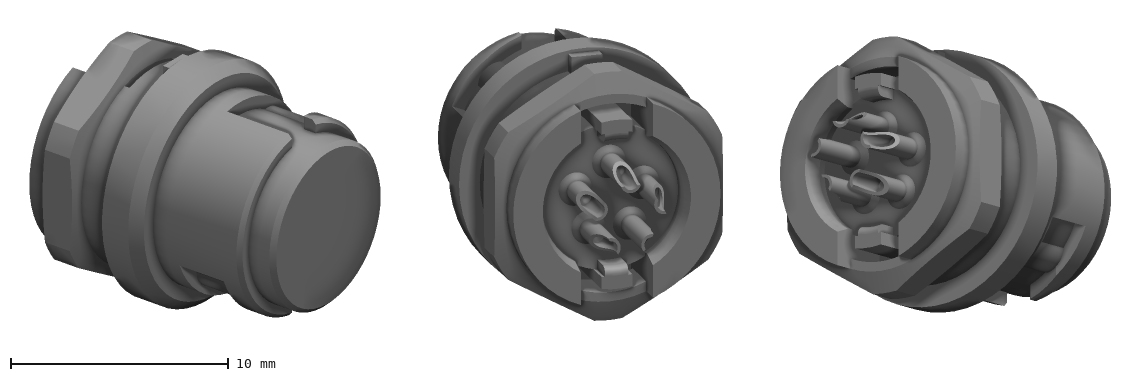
import cadquery as cq
import math


shell_rear_x = 2.1
flange_rear_x = 7.1
flange_front_x = 9.13
barrel_front_x = 14.16
nose_front_x = 15.6
thread_radius = 10.0 / 2
flange_radius = 12.0 / 2
flange_chamfer = 0.51
barrel_radius = 9.6 / 2
barrel_chamfer = 0.2
nose_radius = 8.3 / 2
nose_chamfer = 0.23

bore_mouth_radius = 3.57
bore_radius = 3.34
bore_taper_end_x = 2.92
slot_width = 3.48
slot_front_x = 5.4

insert_radius = 3.51
insert_face_x = 3.3
key_width = 1.48
key_outer_radius = 4.09
tongue_width = 1.12
tongue_inner_radius = 3.04
tongue_round = 0.39

nut_rear_x = 3.12
nut_front_x = 5.12
nut_across_flats = 11.0
hexagon_half_angle = 30
nut_bore_radius = 4.55
nut_chamfer_length = 0.28

lug_rear_x = 6.57
lug_width = 1.48
lug_top_z = 5.79

groove_rear_x = 10.4
groove_front_x = 12.96
entry_half_width = 0.89
ramp_end_y = 2.76
ramp_start_x = 13.45
ramp_round = 0.15
groove_end_angle = 68.0
bump_angle = 39.3
bump_width = 1.55
bump_radius = 1.0

pin_pitch_angle = 72
cup_pitch_angle = 60
pin_steps = (-2, -1, 0, 1, 2)
pin_circle_radius = 1.7
pin_radius = 1.0 / 2
collar_radius = 1.6 / 2
collar_length = 0.23
cup_hole_radius = 0.7 / 2
cup_hole_depth = 2.03
cup_tip_length = 0.2
cup_length = 1.73
cup_wall_offset = 0.15


def x_cylinder(radius, start_x, end_x):
    return cq.Workplane("YZ").workplane(offset=start_x).circle(radius).extrude(end_x - start_x)


def x_revolve(points):
    """Turn an (x, radius) outline about the X axis."""
    return cq.Workplane("XY").polyline(points).close().revolve(360, (0, 0, 0), (1, 0, 0))


def box(start_x, end_x, width, bottom_z, top_z):
    """Block centred on y = 0."""
    return (
        cq.Workplane("XY")
        .box(end_x - start_x, width, top_z - bottom_z, centered=(False, True, False))
        .translate((start_x, 0, bottom_z))
    )


def half_turn(shape):
    return shape.rotate((0, 0, 0), (1, 0, 0), 180)


def make_shell():
    shell = x_revolve([
        (shell_rear_x, 0),
        (shell_rear_x, thread_radius),
        (flange_rear_x, thread_radius),
        (flange_rear_x, flange_radius),
        (flange_front_x - flange_chamfer, flange_radius),
        (flange_front_x, flange_radius - flange_chamfer),
        (flange_front_x, barrel_radius),
        (barrel_front_x - barrel_chamfer, barrel_radius),
        (barrel_front_x, barrel_radius - barrel_chamfer),
        (barrel_front_x, nose_radius),
        (nose_front_x - nose_chamfer, nose_radius),
        (nose_front_x, nose_radius - nose_chamfer),
        (nose_front_x, 0),
    ])
    bore = x_revolve([
        (shell_rear_x, 0),
        (shell_rear_x, bore_mouth_radius),
        (bore_taper_end_x, bore_radius),
        (insert_face_x, bore_radius),
        (insert_face_x, 0),
    ])
    slots = box(shell_rear_x, slot_front_x, slot_width, -flange_radius, flange_radius)
    lug = box(lug_rear_x, flange_rear_x, lug_width, nose_radius, lug_top_z)
    return shell.cut(bore).cut(slots).union(lug)


def make_nut():
    nut_length = nut_front_x - nut_rear_x
    hexagon = (
        cq.Workplane("YZ")
        .workplane(offset=nut_rear_x)
        .polygon(6, nut_across_flats / math.cos(math.radians(hexagon_half_angle)))
        .extrude(nut_length)
        .rotate((0, 0, 0), (1, 0, 0), hexagon_half_angle)
    )
    turned_blank = x_revolve([
        (nut_rear_x, 0),
        (nut_rear_x, thread_radius),
        (nut_rear_x + nut_chamfer_length, flange_radius),
        (nut_front_x - nut_chamfer_length, flange_radius),
        (nut_front_x, thread_radius),
        (nut_front_x, 0),
    ])
    return hexagon.intersect(turned_blank).cut(x_cylinder(nut_bore_radius, nut_rear_x, nut_front_x))


def make_key():
    """Upper insert key: an outer block with a narrower tongue rounded at its rear inner edge."""
    block = box(shell_rear_x, slot_front_x, key_width, 0, flange_radius)
    block = block.intersect(x_cylinder(key_outer_radius, shell_rear_x, slot_front_x))
    block = block.cut(x_cylinder(insert_radius, shell_rear_x, insert_face_x))
    ring = x_cylinder(key_outer_radius, shell_rear_x, slot_front_x)
    ring = ring.cut(x_cylinder(tongue_inner_radius, shell_rear_x, slot_front_x))
    rear_inner_edge = cq.selectors.RadiusNthSelector(0)
    ring = ring.faces("<X").edges(rear_inner_edge).fillet(tongue_round)
    tongue = ring.intersect(box(shell_rear_x, slot_front_x, tongue_width, 0, flange_radius))
    return block.union(tongue)


def make_groove():
    """Upper bayonet groove: straight entry from the front, ramp, then a detent bump."""
    reach = flange_radius
    plan = (
        cq.Workplane("XY")
        .polyline([
            (groove_rear_x, -entry_half_width),
            (barrel_front_x, -entry_half_width),
            (barrel_front_x, entry_half_width),
            (ramp_start_x, entry_half_width),
            (groove_front_x, ramp_end_y),
            (groove_front_x, reach),
            (groove_rear_x, reach),
        ])
        .close()
        .extrude(reach)
    )
    corner = cq.selectors.NearestToPointSelector((ramp_start_x, entry_half_width, reach / 2))
    plan = plan.edges(corner).fillet(ramp_round)

    end_angle = math.radians(groove_end_angle)
    section = (
        cq.Workplane("YZ")
        .workplane(offset=groove_rear_x)
        .polyline([
            (-entry_half_width, 0),
            (0, 0),
            (reach * math.sin(end_angle), reach * math.cos(end_angle)),
            (reach, reach),
            (-entry_half_width, reach),
        ])
        .close()
        .extrude(barrel_front_x - groove_rear_x)
    )
    floor = x_cylinder(nose_radius, groove_rear_x, barrel_front_x)

    floor_chord_distance = math.sqrt(nose_radius**2 - (bump_width / 2) ** 2)
    bump_center_distance = floor_chord_distance - math.sqrt(bump_radius**2 - (bump_width / 2) ** 2)
    bump = (
        x_cylinder(bump_radius, groove_rear_x, barrel_front_x)
        .translate((0, 0, bump_center_distance))
        .rotate((0, 0, 0), (1, 0, 0), -bump_angle)
    )
    return plan.intersect(section).cut(floor).cut(bump)


def make_pin():
    """Pin on the X axis with its solder cup open toward +Z and a conical collar at the insert."""
    pin = x_revolve([
        (0, 0),
        (0, pin_radius),
        (insert_face_x - collar_length, pin_radius),
        (insert_face_x, collar_radius),
        (insert_face_x, 0),
    ])
    hole = x_revolve([
        (0, 0),
        (0, cup_hole_radius),
        (cup_hole_depth, cup_hole_radius),
        (cup_hole_depth + cup_tip_length, 0),
    ])
    arc_rise = pin_radius + cup_wall_offset
    arc_radius = (cup_length**2 + arc_rise**2) / (2 * arc_rise)
    half_sweep = math.atan2(arc_rise, cup_length)
    arc_middle = (
        arc_radius * math.sin(half_sweep),
        arc_radius * (1 - math.cos(half_sweep)) - cup_wall_offset,
    )
    opening = (
        cq.Workplane("XZ")
        .moveTo(0, -cup_wall_offset)
        .threePointArc(arc_middle, (cup_length, pin_radius))
        .lineTo(0, pin_radius)
        .close()
        .extrude(pin_radius, both=True)
    )
    return pin.cut(hole).cut(opening)


result = make_shell()
result = result.union(x_cylinder(insert_radius, insert_face_x, flange_rear_x))
result = result.union(make_nut())

key = make_key()
result = result.union(key).union(half_turn(key))

groove = make_groove()
result = result.cut(groove).cut(half_turn(groove))

pin = make_pin()
for step in pin_steps:
    pin_angle = math.radians(step * pin_pitch_angle)
    place = (0, -pin_circle_radius * math.sin(pin_angle), pin_circle_radius * math.cos(pin_angle))
    turned_pin = pin.rotate((0, 0, 0), (1, 0, 0), step * cup_pitch_angle)
    result = result.union(turned_pin.translate(place))